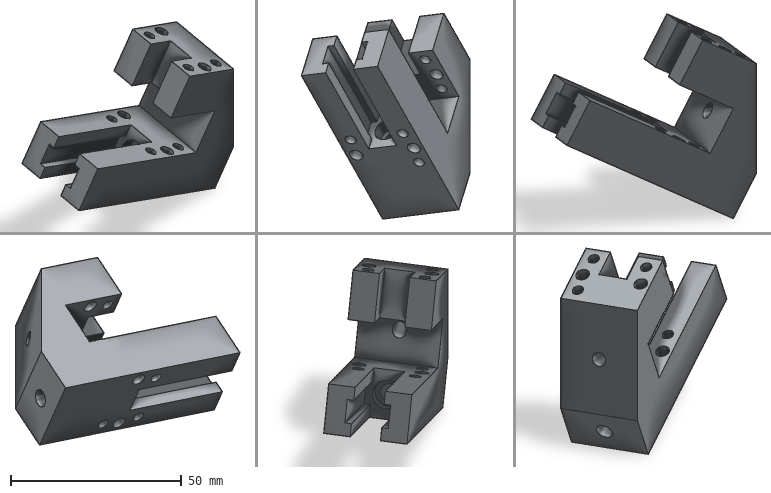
import cadquery as cq
import math

width = 25.0
tilt = 30.0
arm_thickness = 14.9
overall_y = 61.35
overall_z = 57.4
body_height = 3 * arm_thickness

slot_width = 9.1
lower_slot_start = 29.2
upper_slot_start = 28.2

groove_width = 7.05
groove_depth = 1.95

screw_bore = 5.15
counterbore = 8.5
counterbore_depth = 4.05
back_hole = 4.3

pin_hole = 3.3
pin_offset = 8.5
pin_near = 21.2
pin_far = 33.75
bolt_hole = 4.05
bolt_offset = 9.45
bolt_along = 27.25

sin_tilt = math.sin(math.radians(tilt))
cos_tilt = math.cos(math.radians(tilt))
lower_length = (overall_y - arm_thickness * sin_tilt) / cos_tilt
upper_length = (overall_z - body_height * cos_tilt) / sin_tilt
gap_bottom = arm_thickness
gap_top = 2 * arm_thickness
gap_start = (body_height - arm_thickness) * sin_tilt / cos_tilt


def block(along_start, along_end, across_start, across_end, block_width):
    """Box centred on X, before tilting: along the arms is -Y, across them is +Z."""
    length = along_end - along_start
    height = across_end - across_start
    box = cq.Workplane("XY").box(block_width, length, height)
    return box.translate((0, -(along_start + along_end) / 2, (across_start + across_end) / 2))


def cross_hole(x, along, diameter):
    """Hole running across both arms."""
    return cq.Workplane("XY").center(x, -along).circle(diameter / 2).extrude(body_height)


def lengthwise_bore(diameter, along_start, along_end):
    """Bore along the lower arm, centred in its thickness."""
    bore = cq.Workplane("XZ", origin=(0, -along_start, arm_thickness / 2))
    return bore.circle(diameter / 2).extrude(along_end - along_start)


profile = [
    (0, 0),
    (-lower_length, 0),
    (-lower_length, gap_bottom),
    (-gap_start, gap_bottom),
    (-gap_start, gap_top),
    (-upper_length, gap_top),
    (-upper_length, body_height),
    (-gap_start, body_height),
    (0, arm_thickness),
]
body = cq.Workplane("YZ").polyline(profile).close().extrude(width / 2, both=True)

body = body.cut(block(lower_slot_start, lower_length, 0, arm_thickness, slot_width))
body = body.cut(block(upper_slot_start, upper_length, gap_top, body_height, slot_width))

groove_bottom = (arm_thickness - groove_width) / 2
groove_top = groove_bottom + groove_width
groove_span = slot_width + 2 * groove_depth
body = body.cut(block(lower_slot_start, lower_length, groove_bottom, groove_top, groove_span))

body = body.cut(lengthwise_bore(screw_bore, 0, lower_slot_start))
body = body.cut(lengthwise_bore(counterbore, lower_slot_start - counterbore_depth, lower_slot_start))

for side in (-1, 1):
    body = body.cut(cross_hole(side * pin_offset, pin_far, pin_hole))
    body = body.cut(cross_hole(side * bolt_offset, bolt_along, bolt_hole))
body = body.cut(cross_hole(pin_offset, pin_near, pin_hole))

body = body.rotate((0, 0, 0), (1, 0, 0), -tilt)

back_y = arm_thickness * sin_tilt
back_bottom = arm_thickness * cos_tilt
back_top = body_height * cos_tilt + gap_start * sin_tilt
gap_wall_y = gap_bottom * sin_tilt - gap_start * cos_tilt
back_bore = cq.Workplane("XZ", origin=(0, back_y, (back_bottom + back_top) / 2))
back_bore = back_bore.circle(back_hole / 2).extrude(back_y - gap_wall_y)

result = body.cut(back_bore)